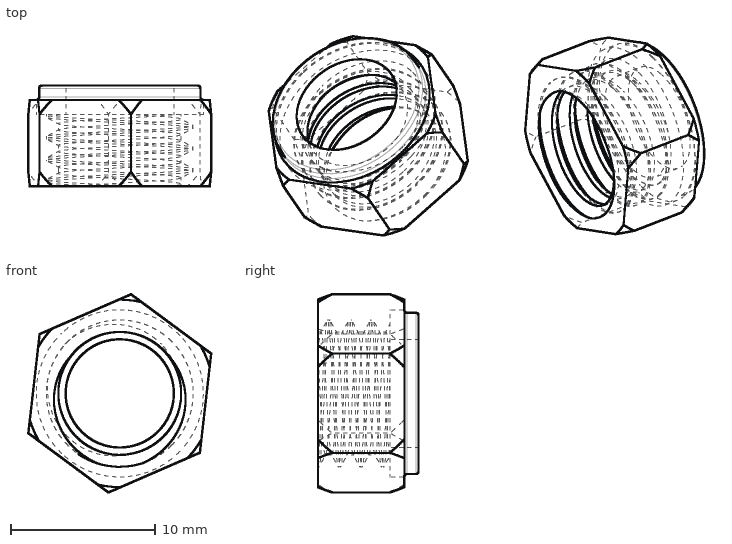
import cadquery as cq
import math

across_flats = 12.0
across_corners = across_flats / math.cos(math.pi / 6)
hex_turn = 6.5
hex_length = 6.0
corner_chamfer_length = 1.0
corner_chamfer_depth = 0.42

minor_diameter = 8.53
major_diameter = 10.2
pitch = 1.5
root_width = 0.15
crest_width = 0.44
cutter_overlap = 0.05

ring_front = 5.0
ring_back = 7.0
ring_bore = 7.5
collar_diameter = 11.21
collar_fillet = 0.2
flange_diameter = collar_diameter + 2 * collar_fillet


def revolve_about_y(profile):
    """Turn a closed profile, drawn with radius along X, about the Y axis."""
    return profile.close().revolve(360, (0, 0, 0), (0, 1, 0))


def make_cylinder(diameter, front, back):
    """Solid cylinder on the Y axis between two Y positions."""
    cylinder = cq.Workplane("XZ").circle(diameter / 2).extrude(front - back)
    return cylinder.translate((0, front, 0))


def make_hexagon():
    """Hexagonal bar with a corner lying hex_turn degrees from +Z."""
    bar = cq.Workplane("XZ").polygon(6, across_corners).extrude(-hex_length)
    x_corner_to_z_corner = 30
    return bar.rotate((0, 0, 0), (0, 1, 0), x_corner_to_z_corner + hex_turn)


def make_corner_envelope():
    """Turned blank whose conical ends chamfer the hexagon corners."""
    full_radius = across_corners / 2
    end_radius = full_radius - corner_chamfer_depth
    profile = (
        cq.Workplane("XY")
        .lineTo(end_radius, 0)
        .lineTo(full_radius, corner_chamfer_length)
        .lineTo(full_radius, hex_length - corner_chamfer_length)
        .lineTo(end_radius, hex_length)
        .lineTo(0, hex_length)
    )
    return revolve_about_y(profile)


def make_thread_groove():
    """Right-hand helical groove, centred on the -Z side at Y = 0 and longer than the nut."""
    minor_radius = minor_diameter / 2
    root_radius = major_diameter / 2
    flank_width = (pitch - crest_width - root_width) / 2
    flank_slope = flank_width / (root_radius - minor_radius)
    inner_radius = minor_radius - cutter_overlap
    root_half = root_width / 2
    mouth_half = root_half + flank_width + cutter_overlap * flank_slope

    lead_in = pitch
    turns = math.ceil(hex_length / pitch) + 2
    path = cq.Wire.makeHelix(pitch, turns * pitch, minor_radius)
    groove = (
        cq.Workplane("XZ")
        .polyline([
            (inner_radius, -mouth_half),
            (root_radius, -root_half),
            (root_radius, root_half),
            (inner_radius, mouth_half),
        ])
        .close()
        .sweep(cq.Workplane(obj=path), isFrenet=True)
    )
    groove = groove.rotate((0, 0, 0), (1, 0, 0), -90)
    groove = groove.rotate((0, 0, 0), (0, 1, 0), 90)
    return groove.translate((0, -lead_in, 0))


def make_nut():
    """Hexagon with chamfered corners, a threaded bore and a counterbore for the ring's flange."""
    blank = make_hexagon().intersect(make_corner_envelope())
    bore = make_cylinder(minor_diameter, 0, hex_length)
    counterbore = make_cylinder(flange_diameter, ring_front, hex_length)
    return blank.cut(bore).cut(make_thread_groove()).cut(counterbore)


def make_ring():
    """Flanged ring, with a fillet between flange and collar and a rounded back rim."""
    bore_radius = ring_bore / 2
    flange_radius = flange_diameter / 2
    collar_radius = collar_diameter / 2
    diagonal = collar_fillet * math.sqrt(0.5)
    profile = (
        cq.Workplane("XY")
        .moveTo(bore_radius, ring_front)
        .lineTo(flange_radius, ring_front)
        .lineTo(flange_radius, hex_length)
        .threePointArc(
            (flange_radius - diagonal, hex_length + collar_fillet - diagonal),
            (collar_radius, hex_length + collar_fillet),
        )
        .lineTo(collar_radius, ring_back - collar_fillet)
        .threePointArc(
            (collar_radius - collar_fillet + diagonal, ring_back - collar_fillet + diagonal),
            (collar_radius - collar_fillet, ring_back),
        )
        .lineTo(bore_radius, ring_back)
    )
    return revolve_about_y(profile)


nut = make_nut()
ring = make_ring()
result = cq.Compound.makeCompound([nut.solids().val(), ring.solids().val()])